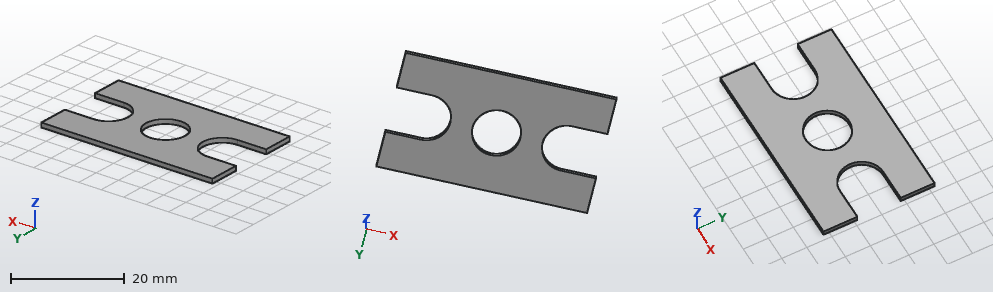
import cadquery as cq

length = 38.1
width = 22.2
thickness = 1.0

hole_diameter = 8.65
slot_depth = 10.7

slot_center_x = length / 2 - slot_depth + hole_diameter / 2


def end_slot(side):
    """Slot with a round inner end, open at the +X (side=1) or -X (side=-1) end."""
    round_end = (
        cq.Workplane("XY")
        .center(side * slot_center_x, 0)
        .circle(hole_diameter / 2)
        .extrude(thickness)
    )
    straight_length = length / 2 - slot_center_x
    straight = (
        cq.Workplane("XY")
        .center(side * (slot_center_x + straight_length / 2), 0)
        .rect(straight_length, hole_diameter)
        .extrude(thickness)
    )
    return round_end.union(straight)


plate = cq.Workplane("XY").rect(length, width).extrude(thickness)
result = plate.faces(">Z").workplane().hole(hole_diameter)
for side in (-1, 1):
    result = result.cut(end_slot(side))